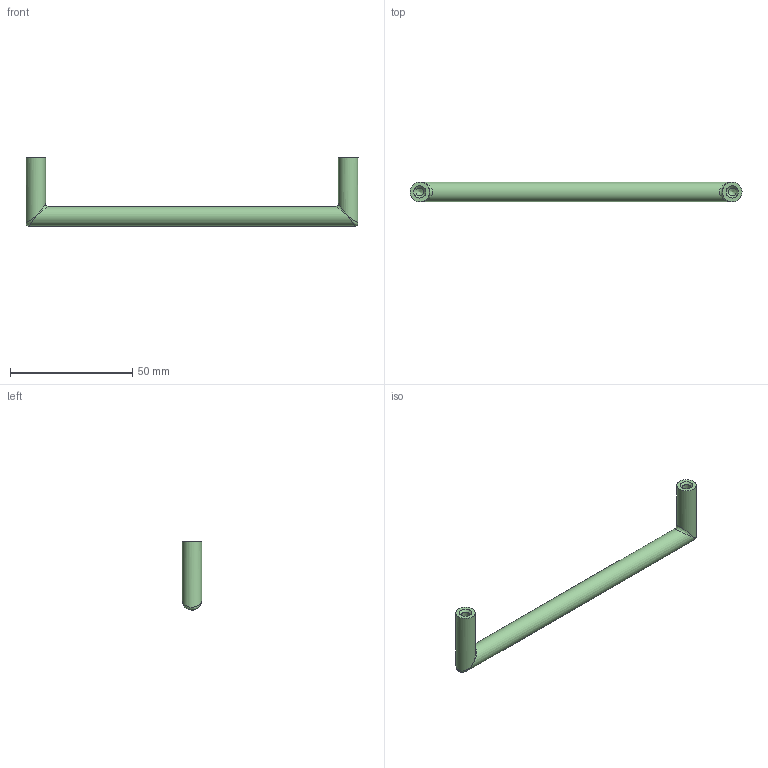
import math

import cadquery as cq

rod_diameter = 8.0
hole_spacing = 128.0
overall_height = 28.0
corner_radius = 1.2
bore_diameter = 3.3
bore_depth = 12.0
drill_point_angle = 118.0
countersink_diameter = 5.0
countersink_angle = 90.0
corner_sections = 5

rod_radius = rod_diameter / 2
half_spacing = hole_spacing / 2
leg_length = overall_height - rod_radius
trim_scale = 2.0

INNER = 1
OUTER = -1

LEG_END = 0
BAR_END = -1


def corner_profile(side):
    """(x, z) points along the quarter arc of one corner, from the leg to the bar."""
    arc_centre = side * rod_radius + corner_radius
    points = []
    for index in range(corner_sections):
        angle = math.pi + math.pi / 2 * index / (corner_sections - 1)
        x = arc_centre + corner_radius * math.cos(angle)
        z = arc_centre + corner_radius * math.sin(angle)
        points.append((x, z))
    return points


def half_ellipse(x, z):
    """Half ellipse across the rod's full width, bulging out to (x, 0, z)."""
    bulge = cq.Vector(x, 0, z)
    normal = bulge.cross(cq.Vector(0, 1, 0))
    return cq.Edge.makeEllipse(bulge.Length, rod_radius, cq.Vector(), normal, bulge, -90, 90)


def make_corner_wedge(side):
    """Rounded wedge between leg and bar; its round fades out towards the rod's two flanks."""
    ellipses = [half_ellipse(x, z) for x, z in corner_profile(side)]
    skin = cq.occ_impl.shapes.loft(*ellipses)
    hinge = cq.Edge.makeLine(cq.Vector(0, -rod_radius, 0), cq.Vector(0, rod_radius, 0))
    ends = [
        cq.Face.makeFromWires(cq.Wire.assembleEdges([ellipse, hinge]))
        for ellipse in (ellipses[LEG_END], ellipses[BAR_END])
    ]
    return cq.occ_impl.shapes.solid(cq.occ_impl.shapes.shell(*skin.Faces(), *ends))


def make_rod(direction, length, profile_index):
    """Round rod along one axis, trimmed where it meets the two corner wedges."""
    inner_x, inner_z = corner_profile(INNER)[profile_index]
    outer_x, outer_z = corner_profile(OUTER)[profile_index]
    end = direction * length
    overrun = direction * rod_diameter
    rod = cq.Solid.makeCylinder(rod_radius, length + rod_diameter, overrun * -1, direction)
    inner = cq.Vector(inner_x, 0, inner_z) * trim_scale
    outer = cq.Vector(outer_x, 0, outer_z) * trim_scale
    corners = [cq.Vector(), inner, inner + end, outer + end + overrun * trim_scale, outer]
    outline = cq.Workplane("XZ").polyline([(point.x, point.z) for point in corners]).close()
    trim = outline.extrude(rod_diameter, both=True)
    return cq.Workplane(obj=rod).intersect(trim)


def make_half_handle():
    """Leg, corner and half of the bar, moved to the -X end of the handle."""
    leg = make_rod(cq.Vector(0, 0, 1), leg_length, LEG_END)
    half_bar = make_rod(cq.Vector(1, 0, 0), half_spacing, BAR_END)
    half = leg.union(half_bar)
    for side in (INNER, OUTER):
        half = half.union(cq.Workplane(obj=make_corner_wedge(side)))
    return half.translate((-half_spacing, 0, 0))


def drill_mounting_hole(body, x):
    """Countersunk blind hole with a drill point, sunk into a leg's mounting face."""
    bore_radius = bore_diameter / 2
    countersink_radius = countersink_diameter / 2
    countersink_depth = (countersink_radius - bore_radius) / math.tan(math.radians(countersink_angle / 2))
    point_depth = bore_radius / math.tan(math.radians(drill_point_angle / 2))
    cutter = (
        cq.Workplane("XZ")
        .polyline(
            [
                (0, 0),
                (countersink_radius, 0),
                (bore_radius, -countersink_depth),
                (bore_radius, -bore_depth),
                (0, -bore_depth - point_depth),
            ]
        )
        .close()
        .revolve(360, (0, 0, 0), (0, 1, 0))
    )
    return body.cut(cutter.translate((x, 0, leg_length)))


left_half = make_half_handle()
handle = left_half.union(left_half.mirror("YZ"))
for hole_x in (-half_spacing, half_spacing):
    handle = drill_mounting_hole(handle, hole_x)
result = cq.Workplane(obj=handle.solids().val())